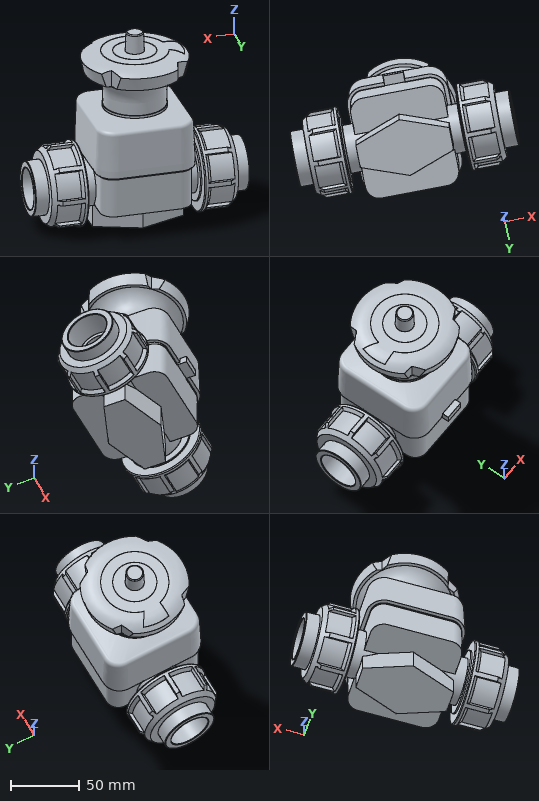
import cadquery as cq
import math


LENGTH = 163.0
BORE_R = 12.5
NECK_R = 18.0

BODY_HALF_X = 34.7
BODY_HALF_Y = 38.0
BODY_CORNER_R = 10.3
BODY_BOTTOM_Z = -13.0
BODY_TOP_Z = 16.6
FOOT_BOTTOM_Z = -33.0
FOOT_HALF_Y = 21.2
FOOT_END_HALF_Y = 8.5

BODY_END_R = 24.0
BODY_END_START_X = 42.9
JOINT_X = 53.8
COLLAR_END_X = 60.3
CONNECTOR_R = 20.7
CONNECTOR_CHAMFER = 0.5
SOCKET_R = 15.5
SOCKET_DEPTH = 19.5
SOCKET_CHAMFER = 0.5

NUT_R = 32.3
NUT_FACE_R = 27.0
NUT_INNER_X = 44.0
NUT_CONE_X = 64.2
NUT_OUTER_X = 71.0
NUT_EDGE_CHAMFER = 0.8
NUT_RIBS = 8
NUT_RIB_WIDTH = 3.6
POCKET_FLOOR_R = 29.8
POCKET_START_X = 47.0
POCKET_FLOOR_X = 49.2
POCKET_CLEARANCE = 1.6

BONNET_HALF_X = 37.5
BONNET_HALF_Y = 40.1
BONNET_CORNER_R = 13.7
SPIGOT_HALF_Y = 37.7
SPIGOT_CORNER_R = 10.3
SKIRT_BOTTOM_Z = 18.5
SKIRT_TOP_Z = 23.8
SHOULDER_Z = 55.3
DRAFT_DEG = 2.0
SHOULDER_FILLET = 3.6
COLLAR_R = 24.0
COLLAR_BOTTOM_Z = 57.2
COLLAR_TOP_Z = 59.2
ROOF_ARC_START_DEG = 35.0
ROOF_ARC_END_DEG = 61.0
TAB_WIDTH = 15.2
TAB_END_Y = -45.3
TAB_TOP_Z = 22.3

WHEEL_NECK_R = 23.5
FLARE_BOTTOM_Z = 68.8
FLARE_R = 18.5
RIM_BOTTOM_Z = 86.0
RIM_BOTTOM_R = 37.8
RIM_R = 40.0
RIM_TOP_Z = 96.7
WHEEL_TOP_Z = 101.0
WHEEL_FLAT_R = 27.5
NOTCHES = 4
NOTCH_APEX_R = 35.7
NOTCH_CW_DEG = 58.0
NOTCH_CCW_DEG = 72.5
NOTCH_REACH = 24.5
LABEL_RELIEF = 0.2
LABEL_R = 25.0
POINTER_R = 36.5
POINTER_START_DEG = 160.3
POINTER_END_DEG = 193.4
POINTER_ROOT_START_DEG = 166.6
POINTER_ROOT_END_DEG = 198.3
HUB_R = 16.1

STEM_TOP_Z = 115.9
STEM_R = 6.5
STEM_BASE_R = 7.0
STEM_CHAMFER = 0.8


def rounded_block(half_x, half_y, corner_r, z_low, z_high, taper=0.0):
    """A block on the Z axis with rounded vertical corners."""
    outline = cq.Sketch().rect(2 * half_x, 2 * half_y).vertices().fillet(corner_r)
    return cq.Workplane("XY", origin=(0, 0, z_low)).placeSketch(outline).extrude(z_high - z_low, taper=taper)


def x_cylinder(radius, x_start, x_end):
    return cq.Workplane("YZ", origin=(x_start, 0, 0)).circle(radius).extrude(x_end - x_start)


def z_cylinder(radius, z_low, z_high):
    return cq.Workplane("XY", origin=(0, 0, z_low)).circle(radius).extrude(z_high - z_low)


def polar(radius, degrees):
    angle = math.radians(degrees)
    return (radius * math.cos(angle), radius * math.sin(angle))


def make_body():
    block = rounded_block(BODY_HALF_X, BODY_HALF_Y, BODY_CORNER_R, BODY_BOTTOM_Z, BODY_TOP_Z)
    foot = (
        cq.Workplane("XY", origin=(0, 0, FOOT_BOTTOM_Z))
        .polyline(
            [
                (-BODY_HALF_X, -FOOT_END_HALF_Y),
                (0, -FOOT_HALF_Y),
                (BODY_HALF_X, -FOOT_END_HALF_Y),
                (BODY_HALF_X, FOOT_END_HALF_Y),
                (0, FOOT_HALF_Y),
                (-BODY_HALF_X, FOOT_END_HALF_Y),
            ]
        )
        .close()
        .extrude(BODY_BOTTOM_Z - FOOT_BOTTOM_Z)
    )
    neck = x_cylinder(NECK_R, -JOINT_X, JOINT_X)
    end_right = x_cylinder(BODY_END_R, BODY_END_START_X, JOINT_X)
    end_left = x_cylinder(BODY_END_R, -JOINT_X, -BODY_END_START_X)
    bore = x_cylinder(BORE_R, -JOINT_X, JOINT_X)
    above = cq.Workplane("XY").box(2 * BODY_HALF_X, 2 * BODY_HALF_Y, NECK_R, centered=(True, True, False))
    above = above.translate((0, 0, BODY_TOP_Z))
    return block.union(foot).union(neck.cut(above)).union(end_right).union(end_left).cut(bore)


def make_connector():
    """End connector on the +X side: a collar held by the nut, and a pipe socket."""
    collar = x_cylinder(BODY_END_R, JOINT_X, COLLAR_END_X)
    tube = x_cylinder(CONNECTOR_R, JOINT_X, LENGTH / 2).faces(">X").chamfer(CONNECTOR_CHAMFER)
    bore = x_cylinder(BORE_R, JOINT_X, LENGTH / 2)
    socket = x_cylinder(SOCKET_R, LENGTH / 2 - SOCKET_DEPTH, LENGTH / 2)
    connector = collar.union(tube).cut(bore).cut(socket)
    mouth_edge = connector.faces(">X").edges("%CIRCLE").edges(cq.selectors.RadiusNthSelector(0))
    return mouth_edge.chamfer(SOCKET_CHAMFER)


def make_nut():
    """Union nut on the +X side, with ribs left between grip pockets."""
    blank = (
        cq.Workplane("XZ")
        .moveTo(NUT_INNER_X, 0)
        .lineTo(NUT_INNER_X, NUT_R - NUT_EDGE_CHAMFER)
        .lineTo(NUT_INNER_X + NUT_EDGE_CHAMFER, NUT_R)
        .lineTo(NUT_CONE_X, NUT_R)
        .lineTo(NUT_OUTER_X, NUT_FACE_R)
        .lineTo(NUT_OUTER_X, 0)
        .close()
        .revolve(360, (0, 0, 0), (1, 0, 0))
    )
    slope = (NUT_R - POCKET_FLOOR_R) / (POCKET_FLOOR_X - POCKET_START_X)
    ring_r = NUT_R + POCKET_CLEARANCE
    ring_start_x = POCKET_START_X - POCKET_CLEARANCE / slope
    pockets = (
        cq.Workplane("XZ")
        .moveTo(POCKET_FLOOR_X, POCKET_FLOOR_R)
        .lineTo(NUT_OUTER_X, POCKET_FLOOR_R)
        .lineTo(NUT_OUTER_X, ring_r)
        .lineTo(ring_start_x, ring_r)
        .close()
        .revolve(360, (0, 0, 0), (1, 0, 0))
    )
    rib_bar = cq.Workplane("XY").box(LENGTH, NUT_RIB_WIDTH, LENGTH)
    for index in range(NUT_RIBS // 2):
        pockets = pockets.cut(rib_bar.rotate((0, 0, 0), (1, 0, 0), index * 360 / NUT_RIBS))
    thread_bore = x_cylinder(BODY_END_R, NUT_INNER_X, COLLAR_END_X)
    tube_bore = x_cylinder(CONNECTOR_R, COLLAR_END_X, NUT_OUTER_X)
    return blank.cut(pockets).cut(thread_bore).cut(tube_bore)


def make_bonnet_roof():
    """Roof that blends the rounded rectangle at the shoulder into the round collar."""
    shoulder_inset = SHOULDER_FILLET + (SHOULDER_Z - SKIRT_TOP_Z) * math.tan(math.radians(DRAFT_DEG))
    half_x = BONNET_HALF_X - shoulder_inset
    half_y = BONNET_HALF_Y - shoulder_inset
    corner_r = BONNET_CORNER_R - shoulder_inset
    centre = (half_x - corner_r, half_y - corner_r)
    corner_mid = polar(corner_r, 45)
    arc_mid_deg = (ROOF_ARC_START_DEG + ROOF_ARC_END_DEG) / 2

    base_corner = [
        (half_x, centre[1]),
        (centre[0] + corner_mid[0], centre[1] + corner_mid[1]),
        (centre[0], half_y),
    ]
    ring_corner = [polar(COLLAR_R, d) for d in (ROOF_ARC_START_DEG, arc_mid_deg, ROOF_ARC_END_DEG)]

    def all_corners(corner):
        """The +X +Y corner mirrored into the four quarters, in counter-clockwise order."""
        return [
            corner,
            [(-x, y) for x, y in reversed(corner)],
            [(-x, -y) for x, y in corner],
            [(x, -y) for x, y in reversed(corner)],
        ]

    base_corners = all_corners(base_corner)
    ring_corners = all_corners(ring_corner)
    side_mids = [(0, COLLAR_R), (-COLLAR_R, 0), (0, -COLLAR_R), (COLLAR_R, 0)]
    base = cq.Workplane("XY", origin=(0, 0, SHOULDER_Z)).moveTo(*base_corners[0][0])
    ring = cq.Workplane("XY", origin=(0, 0, COLLAR_BOTTOM_Z)).moveTo(*ring_corners[0][0])
    for index in range(4):
        following = (index + 1) % 4
        base = base.threePointArc(*base_corners[index][1:]).lineTo(*base_corners[following][0])
        ring = ring.threePointArc(*ring_corners[index][1:])
        ring = ring.threePointArc(side_mids[index], ring_corners[following][0])
    wires = [base.wire().val(), ring.wire().val()]
    return cq.Workplane("XY").add(cq.Solid.makeLoft(wires, True))


def make_bonnet():
    spigot = rounded_block(BODY_HALF_X, SPIGOT_HALF_Y, SPIGOT_CORNER_R, BODY_TOP_Z, SKIRT_BOTTOM_Z)
    skirt = rounded_block(BONNET_HALF_X, BONNET_HALF_Y, BONNET_CORNER_R, SKIRT_BOTTOM_Z, SKIRT_TOP_Z)
    hood = rounded_block(BONNET_HALF_X, BONNET_HALF_Y, BONNET_CORNER_R, SKIRT_TOP_Z, SHOULDER_Z, DRAFT_DEG)
    hood = hood.faces(">Z").edges().fillet(SHOULDER_FILLET)
    collar = z_cylinder(COLLAR_R, COLLAR_BOTTOM_Z, COLLAR_TOP_Z)
    tab_start_y = -BODY_HALF_Y + BODY_CORNER_R
    tab = (
        cq.Workplane("XY", origin=(0, (TAB_END_Y + tab_start_y) / 2, BODY_TOP_Z))
        .rect(TAB_WIDTH, tab_start_y - TAB_END_Y)
        .extrude(TAB_TOP_Z - BODY_TOP_Z)
    )
    return spigot.union(skirt).union(hood).union(make_bonnet_roof()).union(collar).union(tab)


def make_wheel_blank(relief):
    """Revolved handwheel whose top is lowered by the relief."""
    dome_rise = WHEEL_TOP_Z - RIM_TOP_Z
    dome_run = RIM_R - WHEEL_FLAT_R
    dome_r = (dome_run**2 + dome_rise**2) / (2 * dome_rise)
    half_sweep = math.asin(dome_run / dome_r) / 2
    dome_mid = (
        WHEEL_FLAT_R + dome_r * math.sin(half_sweep),
        WHEEL_TOP_Z - dome_r * (1 - math.cos(half_sweep)) - relief,
    )
    flare_sweep = math.asin((RIM_BOTTOM_Z - FLARE_BOTTOM_Z) / FLARE_R)

    def flare_point(sweep):
        return (WHEEL_NECK_R + FLARE_R * (1 - math.cos(sweep)), FLARE_BOTTOM_Z + FLARE_R * math.sin(sweep))

    return (
        cq.Workplane("XZ")
        .moveTo(0, COLLAR_TOP_Z)
        .lineTo(WHEEL_NECK_R, COLLAR_TOP_Z)
        .lineTo(WHEEL_NECK_R, FLARE_BOTTOM_Z)
        .threePointArc(flare_point(flare_sweep / 2), flare_point(flare_sweep))
        .lineTo(RIM_BOTTOM_R, RIM_BOTTOM_Z)
        .lineTo(RIM_R, RIM_TOP_Z - relief)
        .threePointArc(dome_mid, (WHEEL_FLAT_R, WHEEL_TOP_Z - relief))
        .lineTo(0, WHEEL_TOP_Z - relief)
        .close()
        .revolve(360, (0, 0, 0), (0, 1, 0))
    )


def make_wheel():
    wheel = make_wheel_blank(LABEL_RELIEF)

    pointer_mid_deg = (POINTER_START_DEG + POINTER_END_DEG) / 2
    pointer = (
        cq.Workplane("XY", origin=(0, 0, RIM_TOP_Z))
        .moveTo(*polar(LABEL_R, POINTER_ROOT_START_DEG))
        .lineTo(*polar(POINTER_R, POINTER_START_DEG))
        .threePointArc(polar(POINTER_R, pointer_mid_deg), polar(POINTER_R, POINTER_END_DEG))
        .lineTo(*polar(LABEL_R, POINTER_ROOT_END_DEG))
        .close()
        .extrude(WHEEL_TOP_Z - RIM_TOP_Z)
    )
    label = z_cylinder(LABEL_R, RIM_TOP_Z, WHEEL_TOP_Z).union(pointer)
    wheel = wheel.union(make_wheel_blank(0).intersect(label))
    wheel = wheel.cut(z_cylinder(HUB_R, WHEEL_TOP_Z - LABEL_RELIEF, WHEEL_TOP_Z))

    for index in range(NOTCHES):
        radial_deg = (index + 0.5) * 360 / NOTCHES
        apex = polar(NOTCH_APEX_R, radial_deg)
        flank_cw = polar(NOTCH_REACH, radial_deg - NOTCH_CW_DEG)
        flank_ccw = polar(NOTCH_REACH, radial_deg + NOTCH_CCW_DEG)
        notch = (
            cq.Workplane("XY", origin=(apex[0], apex[1], RIM_BOTTOM_Z))
            .polyline([(0, 0), flank_cw, flank_ccw])
            .close()
            .extrude(WHEEL_TOP_Z - RIM_BOTTOM_Z)
        )
        wheel = wheel.cut(notch)
    return wheel.cut(z_cylinder(STEM_BASE_R, COLLAR_TOP_Z, WHEEL_TOP_Z))


def make_stem():
    """Stem that stands on the bonnet collar, fills the wheel bore and tapers above the wheel."""
    return (
        cq.Workplane("XZ")
        .moveTo(0, COLLAR_TOP_Z)
        .lineTo(STEM_BASE_R, COLLAR_TOP_Z)
        .lineTo(STEM_BASE_R, WHEEL_TOP_Z)
        .lineTo(STEM_R, STEM_TOP_Z - STEM_CHAMFER)
        .lineTo(STEM_R - STEM_CHAMFER, STEM_TOP_Z)
        .lineTo(0, STEM_TOP_Z)
        .close()
        .revolve(360, (0, 0, 0), (0, 1, 0))
    )


body = make_body()
bonnet = make_bonnet()
wheel = make_wheel()
stem = make_stem()

connectors = []
nuts = []
for turn_deg in (0, 180):
    connectors.append(make_connector().rotate((0, 0, 0), (0, 0, 1), turn_deg).val())
    nuts.append(make_nut().rotate((0, 0, 0), (0, 0, 1), turn_deg).val())

result = cq.Compound.makeCompound([body.val(), bonnet.val(), wheel.val(), stem.val(), *connectors, *nuts])